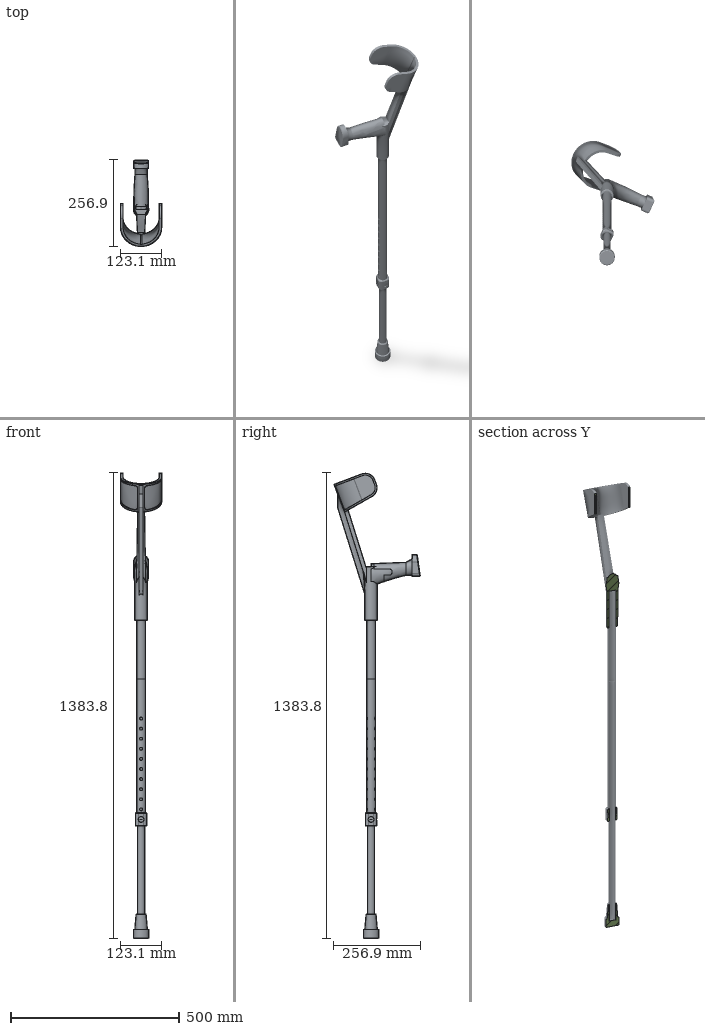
import cadquery as cq
import math


LOWER_DIAMETER = 22.0
UPPER_DIAMETER = 27.0
LOWER_WALL = 2.0
LOWER_TUBE_TOP = 771.0
UPPER_TUBE_TOP = 1060.0
HOLE_DIAMETER = 8.5
HOLE_PITCH = 30.0
HOLE_COUNT = 10

FOOT_DIAMETER = 46.0
FOOT_BASE_HEIGHT = 27.0
FOOT_NECK_BOTTOM_DIAMETER = 38.0
FOOT_NECK_TOP_DIAMETER = 30.0
FOOT_HEIGHT = 73.0
FOOT_FLOOR = 20.0
FOOT_CHAMFER = 2.0

COLLAR_WIDTH = 34.0
COLLAR_BOTTOM = 334.0
COLLAR_HEIGHT = 40.0
COLLAR_CORNER = 10.0
COLLAR_CHAMFER = 2.0
DIMPLE_DIAMETER = 17.0
DIMPLE_DEPTH = 1.0
COLLAR_CENTER = COLLAR_BOTTOM + COLLAR_HEIGHT / 2

SLEEVE_DIAMETER = 38.0
SLEEVE_BOTTOM = 945.0
SLEEVE_TOP = 1106.0
SLEEVE_CHAMFER = 2.0

ARM_TILT = math.radians(17.4)
ARM_BASE_Y = -19.0
ARM_BASE_Z = 1118.0
FLANGE_DEPTH = 12.0
FLANGE_CHAMFER = 3.0
FLANGE_WIDTH_BOTTOM = 28.0
FLANGE_WIDTH_TOP = 21.0
FLANGE_DROP = 60.0
FLANGE_LENGTH = 168.0
ARM_DEPTH = 28.0
RIB_WIDTH = 12.0
RIB_DROP = 95.0
RIB_SHOULDER = 180.0
RIB_RISE = 40.0
RIB_TOP_DROP = 4.0

CUFF_TILT = math.radians(20.7)
CUFF_WIDTH = 123.07
CUFF_WALL = 8.0
CUFF_REACH = 118.5
CUFF_BACK_Y = -110.5
CUFF_BACK_Z = 1350.54
CUFF_BACK_HEIGHT = 88.0
CUFF_TIP_HEIGHT = 70.0
CUFF_TIP_RADIUS = 30.0
PANEL_DEPTH = 2.0
PANEL_MARGIN = 5.5
PANEL_GAP = 21.0
PANEL_CORNER = 8.0
CORNER_REACH = 3.0
GROOVE_WIDTH = 5.0
GROOVE_DEPTH = 2.0
CUFF_RADIUS = CUFF_WIDTH / 2

GRIP_OUTER_Y = 104.0
GRIP_SECTIONS = [
    (GRIP_OUTER_Y, 1080.0, 1119.0, 37.0),
    (47.0, 1064.0, 1117.0, 44.0),
    (0.0, 1046.0, 1115.0, 45.0),
]
GRIP_END_TOP_Y = 9.0
GRIP_END_BOTTOM_Y = 39.0
TONGUE_TIP_Y = 63.0
TONGUE_BOTTOM_Z = 1081.0
TONGUE_TOP_Z = 1099.0

CAP_WIDTH = 45.0
CAP_BOTTOM_Z = 1077.0
CAP_TOP_Z = 1142.0
CAP_INNER_Y = 122.0
CAP_OUTER_TOP_Y = 137.5
CAP_OUTER_BOTTOM_Y = 146.73
CAP_CORNER = 8.0
CAP_EDGE_CHAMFER = 2.0
NECK_FLARE = 10.0

SPAN = 300.0


def rod(diameter, bottom, top):
    return cq.Workplane("XY").workplane(offset=bottom).circle(diameter / 2).extrude(top - bottom)


def side_prism(outline, width):
    """A (Y, Z) outline extruded evenly to both sides of the X = 0 plane."""
    return cq.Workplane("YZ").polyline(outline).close().extrude(width / 2, both=True)


def make_foot():
    base = rod(FOOT_DIAMETER, 0, FOOT_BASE_HEIGHT).faces("<Z").chamfer(FOOT_CHAMFER)
    neck = (
        cq.Workplane("XZ")
        .moveTo(0, FOOT_BASE_HEIGHT)
        .lineTo(FOOT_NECK_BOTTOM_DIAMETER / 2, FOOT_BASE_HEIGHT)
        .lineTo(FOOT_NECK_TOP_DIAMETER / 2, FOOT_HEIGHT)
        .lineTo(0, FOOT_HEIGHT)
        .close()
        .revolve(360, (0, 0, 0), (0, 1, 0))
        .faces(">Z")
        .chamfer(FOOT_CHAMFER)
    )
    return base.union(neck).cut(rod(LOWER_DIAMETER, FOOT_FLOOR, FOOT_HEIGHT))


def make_lower_tube():
    bore = rod(LOWER_DIAMETER - 2 * LOWER_WALL, FOOT_FLOOR, LOWER_TUBE_TOP)
    return rod(LOWER_DIAMETER, FOOT_FLOOR, LOWER_TUBE_TOP).cut(bore)


def make_upper_tube():
    tube = rod(UPPER_DIAMETER, COLLAR_CENTER, UPPER_TUBE_TOP)
    tube = tube.cut(rod(LOWER_DIAMETER, COLLAR_CENTER, UPPER_TUBE_TOP))
    for step in range(1, HOLE_COUNT + 1):
        hole = (
            cq.Workplane("XZ")
            .center(0, COLLAR_CENTER + step * HOLE_PITCH)
            .circle(HOLE_DIAMETER / 2)
            .extrude(UPPER_DIAMETER, both=True)
        )
        tube = tube.cut(hole)
    return tube


def make_collar():
    collar = (
        cq.Workplane("XY")
        .workplane(offset=COLLAR_BOTTOM)
        .rect(COLLAR_WIDTH, COLLAR_WIDTH)
        .extrude(COLLAR_HEIGHT)
        .edges("|Z")
        .fillet(COLLAR_CORNER)
        .faces("<Z or >Z")
        .chamfer(COLLAR_CHAMFER)
    )
    for side in range(4):
        dimple = (
            cq.Workplane("XZ")
            .workplane(offset=COLLAR_WIDTH / 2 - DIMPLE_DEPTH)
            .center(0, COLLAR_CENTER)
            .circle(DIMPLE_DIAMETER / 2)
            .extrude(COLLAR_WIDTH)
            .rotate((0, 0, 0), (0, 0, 1), 90 * side)
        )
        collar = collar.cut(dimple)
    collar_top = COLLAR_BOTTOM + COLLAR_HEIGHT
    return collar.cut(rod(LOWER_DIAMETER, COLLAR_BOTTOM, collar_top)).cut(
        rod(UPPER_DIAMETER, COLLAR_CENTER, collar_top)
    )


def arm_point(along, depth):
    """(Y, Z) of a point measured up along the arm and back from its front face."""
    y = ARM_BASE_Y - along * math.sin(ARM_TILT) - depth * math.cos(ARM_TILT)
    z = ARM_BASE_Z + along * math.cos(ARM_TILT) - depth * math.sin(ARM_TILT)
    return y, z


def cuff_point(forward, drop):
    """(Y, Z) of a point measured forward and down from the top of the cuff's back."""
    y = CUFF_BACK_Y + forward * math.cos(CUFF_TILT) + drop * math.sin(CUFF_TILT)
    z = CUFF_BACK_Z + forward * math.sin(CUFF_TILT) - drop * math.cos(CUFF_TILT)
    return y, z


def make_arm():
    arm_plane = cq.Plane(
        origin=(0, ARM_BASE_Y, ARM_BASE_Z),
        xDir=(-1, 0, 0),
        normal=(0, math.cos(ARM_TILT), math.sin(ARM_TILT)),
    )
    flange = (
        cq.Workplane(arm_plane)
        .polyline([
            (-FLANGE_WIDTH_BOTTOM / 2, -FLANGE_DROP),
            (FLANGE_WIDTH_BOTTOM / 2, -FLANGE_DROP),
            (FLANGE_WIDTH_TOP / 2, FLANGE_LENGTH),
            (-FLANGE_WIDTH_TOP / 2, FLANGE_LENGTH),
        ])
        .close()
        .extrude(-FLANGE_DEPTH)
        .faces("<Y")
        .edges("not |X")
        .chamfer(FLANGE_CHAMFER)
    )
    shoulder = arm_point(RIB_SHOULDER, ARM_DEPTH)
    rib_outline = [
        arm_point(-RIB_DROP, ARM_DEPTH),
        shoulder,
        (shoulder[0], shoulder[1] + RIB_RISE),
        cuff_point(0, RIB_TOP_DROP),
        cuff_point(CUFF_WALL / 2, RIB_TOP_DROP),
        cuff_point(CUFF_WALL / 2, CUFF_BACK_HEIGHT),
        arm_point(0, FLANGE_DEPTH / 2),
    ]
    return flange.union(side_prism(rib_outline, RIB_WIDTH))


def cuff_shell(thickness):
    """U-shaped wall, closed at the back, whose outer face is the outside of the cuff."""
    cuff_plane = cq.Plane(
        origin=(0, CUFF_BACK_Y, CUFF_BACK_Z),
        xDir=(1, 0, 0),
        normal=(0, -math.sin(CUFF_TILT), math.cos(CUFF_TILT)),
    )
    inner = CUFF_RADIUS - thickness
    return (
        cq.Workplane(cuff_plane)
        .moveTo(-CUFF_RADIUS, CUFF_REACH)
        .lineTo(-CUFF_RADIUS, CUFF_RADIUS)
        .threePointArc((0, 0), (CUFF_RADIUS, CUFF_RADIUS))
        .lineTo(CUFF_RADIUS, CUFF_REACH)
        .lineTo(inner, CUFF_REACH)
        .lineTo(inner, CUFF_RADIUS)
        .threePointArc((0, thickness), (-inner, CUFF_RADIUS))
        .lineTo(-inner, CUFF_REACH)
        .close()
        .extrude(-CUFF_BACK_HEIGHT)
    )


def cuff_side(margin):
    """Side shape of the cuff with rounded tips, drawn in from its edge by the margin."""
    outline = [
        cuff_point(0, margin),
        cuff_point(CUFF_REACH - margin, margin),
        cuff_point(CUFF_REACH - margin, CUFF_TIP_HEIGHT - margin),
        cuff_point(0, CUFF_BACK_HEIGHT - margin),
    ]
    return (
        side_prism(outline, SPAN)
        .edges("|X")
        .edges(">>Y or >>Y[-2]")
        .fillet(CUFF_TIP_RADIUS - margin)
    )


def make_cuff_groove():
    """Groove down the middle of the cuff's inner face."""
    outline = [
        cuff_point(CUFF_WALL - GROOVE_DEPTH, 0),
        cuff_point(CUFF_RADIUS, 0),
        cuff_point(CUFF_RADIUS, CUFF_BACK_HEIGHT),
        cuff_point(CUFF_WALL - GROOVE_DEPTH, CUFF_BACK_HEIGHT),
    ]
    return side_prism(outline, GROOVE_WIDTH)


def make_panel(side):
    """Inlay on the outside of the cuff, on the +X (side = 1) or -X (side = -1) half."""
    half_space = (
        cq.Workplane("XY")
        .box(SPAN, SPAN, SPAN)
        .translate((side * (PANEL_GAP + SPAN) / 2, CUFF_BACK_Y, CUFF_BACK_Z))
    )
    panel = cuff_shell(PANEL_DEPTH).intersect(cuff_side(PANEL_MARGIN)).intersect(half_space)
    for drop in (PANEL_MARGIN, CUFF_BACK_HEIGHT - PANEL_MARGIN):
        y, z = cuff_point(PANEL_DEPTH, drop)
        corner = cq.selectors.BoxSelector(
            (side * PANEL_GAP / 2 - PANEL_DEPTH, y - CORNER_REACH, z - CORNER_REACH),
            (side * PANEL_GAP / 2 + PANEL_DEPTH, y + CORNER_REACH, z + CORNER_REACH),
        )
        panel = panel.edges(corner).fillet(PANEL_CORNER)
    return panel


def grip_hull():
    """Solid oval handle from the pole axis out to the end cap."""
    hull = cq.Workplane("XZ")
    previous_y = 0
    previous_z = 0
    for y, bottom, top, width in GRIP_SECTIONS:
        middle = (bottom + top) / 2
        hull = (
            hull.workplane(offset=previous_y - y)
            .center(0, middle - previous_z)
            .ellipse(width / 2, (top - bottom) / 2)
        )
        previous_y = y
        previous_z = middle
    return hull.loft(combine=True)


def make_grip_root():
    """Part of the handle that belongs to the frame, with the tongue that reaches into the grip."""
    tongue_middle = (TONGUE_BOTTOM_Z + TONGUE_TOP_Z) / 2
    tongue_radius = (TONGUE_TOP_Z - TONGUE_BOTTOM_Z) / 2
    root = (
        cq.Workplane("YZ")
        .moveTo(-SPAN, ARM_BASE_Z)
        .lineTo(GRIP_END_TOP_Y, ARM_BASE_Z)
        .lineTo(GRIP_END_TOP_Y, TONGUE_TOP_Z)
        .lineTo(TONGUE_TIP_Y - tongue_radius, TONGUE_TOP_Z)
        .threePointArc((TONGUE_TIP_Y, tongue_middle), (TONGUE_TIP_Y - tongue_radius, TONGUE_BOTTOM_Z))
        .lineTo(GRIP_END_BOTTOM_Y, TONGUE_BOTTOM_Z)
        .lineTo(GRIP_END_BOTTOM_Y, SLEEVE_BOTTOM)
        .lineTo(-SPAN, SLEEVE_BOTTOM)
        .close()
        .extrude(SPAN, both=True)
    )
    return grip_hull().intersect(root)


def make_sleeve():
    return rod(SLEEVE_DIAMETER, SLEEVE_BOTTOM, SLEEVE_TOP).faces("<Z").chamfer(SLEEVE_CHAMFER)


def make_frame(panels):
    cuff = cuff_shell(CUFF_WALL).intersect(cuff_side(0)).cut(make_cuff_groove())
    frame = make_sleeve().union(make_grip_root()).union(make_arm()).union(cuff)
    for panel in panels:
        frame = frame.cut(panel)
    return frame.cut(rod(UPPER_DIAMETER, SLEEVE_BOTTOM, UPPER_TUBE_TOP))


def make_grip(frame):
    pole_bore = rod(UPPER_DIAMETER, SLEEVE_BOTTOM, UPPER_TUBE_TOP)
    return grip_hull().cut(pole_bore).cut(frame)


def make_end_cap():
    crown_radius = CAP_WIDTH / 2
    outline = (
        cq.Workplane("XZ")
        .moveTo(-crown_radius, CAP_BOTTOM_Z)
        .lineTo(crown_radius, CAP_BOTTOM_Z)
        .lineTo(crown_radius, CAP_TOP_Z - crown_radius)
        .threePointArc((0, CAP_TOP_Z), (-crown_radius, CAP_TOP_Z - crown_radius))
        .close()
        .extrude(-SPAN)
        .edges("|Y and <Z")
        .fillet(CAP_CORNER)
    )
    slab = side_prism(
        [
            (CAP_INNER_Y, CAP_BOTTOM_Z),
            (CAP_OUTER_BOTTOM_Y, CAP_BOTTOM_Z),
            (CAP_OUTER_TOP_Y, CAP_TOP_Z),
            (CAP_INNER_Y, CAP_TOP_Z),
        ],
        CAP_WIDTH,
    )
    disc = outline.intersect(slab).faces(">Y").chamfer(CAP_EDGE_CHAMFER)
    _, bottom, top, width = GRIP_SECTIONS[0]
    neck = (
        cq.Workplane("XZ")
        .workplane(offset=-GRIP_OUTER_Y)
        .center(0, (bottom + top) / 2)
        .ellipse(width / 2, (top - bottom) / 2)
        .workplane(offset=GRIP_OUTER_Y - CAP_INNER_Y)
        .center(0, NECK_FLARE / 2)
        .ellipse(width / 2, (top - bottom + NECK_FLARE) / 2)
        .loft(combine=True)
    )
    return disc.union(neck)


foot = make_foot()
lower_tube = make_lower_tube()
upper_tube = make_upper_tube()
collar = make_collar()
panels = [make_panel(side) for side in (-1, 1)]
frame = make_frame(panels)
grip = make_grip(frame)
end_cap = make_end_cap()

result = cq.Compound.makeCompound([
    foot.val(),
    lower_tube.val(),
    upper_tube.val(),
    collar.val(),
    frame.val(),
    *[panel.val() for panel in panels],
    grip.val(),
    end_cap.val(),
])